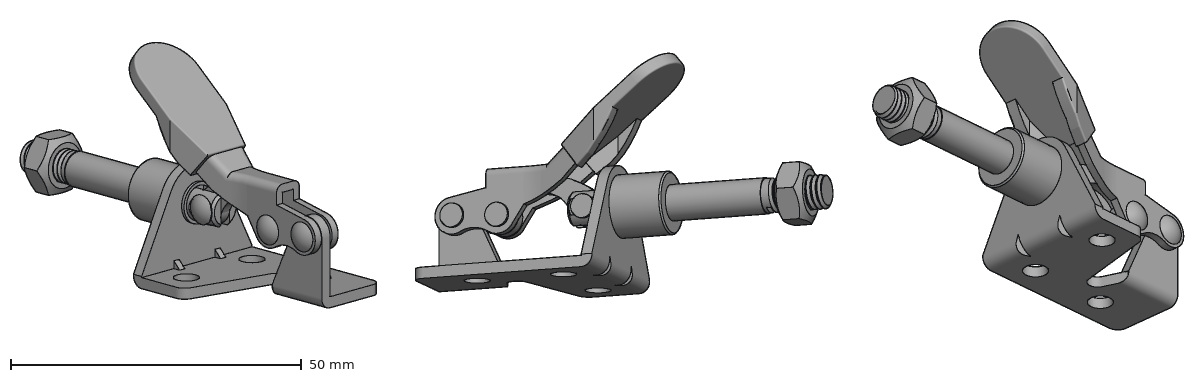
import cadquery as cq
import math


total_length = 71.53
total_height = 38.8

sheet = 2.0
bracket_width = 27.0
bracket_length = 33.3
bend_radius = 2.0
axis_z = 12.75

plunger_dia = 6.3
thread_dia = 6.0
thread_pitch = 1.0

pivot_shank_dia = 3.0
plunger_pivot = (5.85, axis_z)
link_pivot = (21.64, 12.3)
bracket_pivot = (29.95, axis_z)

link_thickness = 2.0

lever_mid_y = 0.3
lever_width = 5.6
lever_sheet = 1.5

handle_angle = math.radians(39.0)
FAR = 100.0


def polar(center, radius, degrees):
    """Point on a circle, measured counter-clockwise from the first axis."""
    angle = math.radians(degrees)
    return (center[0] + radius * math.cos(angle), center[1] + radius * math.sin(angle))


def side_slab(profile, y_low, y_high):
    """Extrude a closed XZ outline between two Y positions."""
    return profile.extrude(y_low - y_high).translate((0, y_low, 0))


def cross_cylinder(center, radius, y_low, y_high):
    """Cylinder along Y about a point in the XZ plane."""
    return side_slab(cq.Workplane("XZ").center(*center).circle(radius), y_low, y_high)


def axial_cylinder(radius, x_low, x_high):
    """Cylinder along X on the plunger axis."""
    start = cq.Plane((x_low, 0, axis_z), xDir=(0, 1, 0), normal=(1, 0, 0))
    return cq.Workplane(start).circle(radius).extrude(x_high - x_low)


flange_top_radius = 7.1
flange_shoulder_z = 2.2
corner_radius = 2.0
mount_hole_dia = 4.5
mount_hole_near_x = 7.4
mount_hole_pitch_x = 16.0
mount_hole_y = 8.0
notch_center = (17.8, 3.2)
notch_radius = 1.85
notch_side_lean = 13.0
notch_tab_lean = 20.0
tab_outer_y = -1.0
tab_foot_x = 21.2
stem_dia = 7.5
gusset_y = 5.0
gusset_width = 1.3
gusset_leg = 1.4
gusset_dent_reach = 3.1
half_width = bracket_width / 2


def make_flange():
    drop = flange_shoulder_z - axis_z
    corner_distance = math.hypot(half_width, drop)
    tangent_angle = math.degrees(math.atan2(drop, half_width)
                                 + math.acos(flange_top_radius / corner_distance))
    tangent_y, tangent_z = polar((0, axis_z), flange_top_radius, tangent_angle)
    return (cq.Workplane("YZ")
            .moveTo(-half_width, 0)
            .lineTo(half_width, 0)
            .lineTo(half_width, flange_shoulder_z)
            .lineTo(tangent_y, tangent_z)
            .threePointArc((0, axis_z + flange_top_radius), (-tangent_y, tangent_z))
            .lineTo(-half_width, flange_shoulder_z)
            .close()
            .extrude(sheet))


def make_base():
    side_lean = math.radians(notch_side_lean)
    tab_lean = math.radians(notch_tab_lean)
    left_x, left_y = polar(notch_center, notch_radius, 180 - notch_side_lean)
    right_x, right_y = polar(notch_center, notch_radius, notch_tab_lean)
    corner_x = left_x - (left_y + half_width) * math.tan(side_lean)
    tab_corner_x = right_x + (right_y - tab_outer_y) * math.tan(tab_lean)
    base = (cq.Workplane("XY")
            .moveTo(0, -half_width)
            .lineTo(corner_x, -half_width)
            .lineTo(left_x, left_y)
            .threePointArc(polar(notch_center, notch_radius, 90), (right_x, right_y))
            .lineTo(tab_corner_x, tab_outer_y)
            .lineTo(bracket_length, tab_outer_y)
            .lineTo(bracket_length, half_width)
            .lineTo(0, half_width)
            .close()
            .extrude(sheet))
    for corner in ((corner_x, -half_width), (bracket_length, half_width)):
        base = base.edges(cq.selectors.NearestToPointSelector((*corner, sheet / 2))).fillet(corner_radius)
    far_x = mount_hole_near_x + mount_hole_pitch_x
    holes = [(mount_hole_near_x, -mount_hole_y), (mount_hole_near_x, mount_hole_y), (far_x, mount_hole_y)]
    return base.cut(cq.Workplane("XY").pushPoints(holes).circle(mount_hole_dia / 2).extrude(sheet))


def make_tab():
    """Upright tab with a slanted front edge that runs tangent into its round top."""
    radius = bracket_length - bracket_pivot[0]
    run = tab_foot_x - bracket_pivot[0]
    drop = sheet - bracket_pivot[1]
    foot_distance = math.hypot(run, drop)
    tangent_angle = math.degrees(math.atan2(drop, run) - math.acos(radius / foot_distance))
    outline = (cq.Workplane("XZ")
               .moveTo(tab_foot_x, 0)
               .lineTo(tab_foot_x, sheet)
               .lineTo(*polar(bracket_pivot, radius, tangent_angle))
               .threePointArc(polar(bracket_pivot, radius, 90), (bracket_length, bracket_pivot[1]))
               .lineTo(bracket_length, 0)
               .close())
    return side_slab(outline, tab_outer_y, tab_outer_y + sheet)


def make_bracket():
    bracket = make_flange().union(make_base()).union(make_tab())
    tab_bend = cq.selectors.NearestToPointSelector((bracket_length - sheet, tab_outer_y, 0))
    flange_bend = cq.selectors.NearestToPointSelector((0, 0, 0))
    bracket = bracket.edges(tab_bend).fillet(bend_radius)
    bracket = bracket.edges(flange_bend).fillet(bend_radius)

    root_to_corner = gusset_dent_reach / math.sqrt(2)
    dent_depth = root_to_corner - bend_radius * (math.sqrt(2) - 1)
    half_at_corner = gusset_width / 2 * root_to_corner / dent_depth
    for y in (-gusset_y, gusset_y):
        rib = (cq.Workplane("XZ")
               .moveTo(sheet, sheet)
               .lineTo(sheet + gusset_leg, sheet)
               .lineTo(sheet, sheet + gusset_leg)
               .close())
        bracket = bracket.union(side_slab(rib, y - gusset_width / 2, y + gusset_width / 2))
        dent_plane = cq.Plane((0, y, 0), xDir=(0, 1, 0), normal=(1, 0, -1))
        dent = (cq.Workplane(dent_plane)
                .polyline([(-half_at_corner, 0), (0, root_to_corner), (half_at_corner, 0)])
                .close()
                .extrude(gusset_dent_reach, both=True))
        bracket = bracket.cut(dent)

    bracket = bracket.cut(axial_cylinder(stem_dia / 2, 0, sheet))
    return bracket.cut(cross_cylinder(bracket_pivot, pivot_shank_dia / 2, -sheet, sheet))


bushing_dia = 11.0
bushing_length = 9.5
bushing_chamfer = 0.3
stem_end_x = sheet + 0.6


def make_bushing():
    body = axial_cylinder(bushing_dia / 2, -bushing_length, 0).faces("<X").chamfer(bushing_chamfer)
    stem = axial_cylinder(stem_dia / 2, 0, stem_end_x)
    return body.union(stem).cut(axial_cylinder(plunger_dia / 2, -bushing_length, stem_end_x))


rivet_head_dia = 5.3
rivet_head_height = 1.1
rivet_tail_dia = 4.2
rivet_tail_height = 0.6
plunger_seat_y = 2.8
lever_near_y = lever_mid_y - lever_width / 2
lever_far_y = lever_mid_y + lever_width / 2


def make_rivet(center, seat_low, seat_high):
    """Shank along Y with a domed head at the low seat and a flat tail at the high one."""
    head_radius = rivet_head_dia / 2
    dome_radius = (head_radius ** 2 + rivet_head_height ** 2) / (2 * rivet_head_height)
    dome = (cq.Workplane("XY").sphere(dome_radius)
            .translate((center[0], seat_low - rivet_head_height + dome_radius, center[1])))
    head_blank = cross_cylinder(center, head_radius, seat_low - rivet_head_height, seat_low)
    shank = cross_cylinder(center, pivot_shank_dia / 2, seat_low, seat_high)
    tail = cross_cylinder(center, rivet_tail_dia / 2, seat_high, seat_high + rivet_tail_height)
    return head_blank.intersect(dome).union(shank).union(tail)


plunger_start_x = bracket_length - total_length
plunger_end_x = 8.86
thread_end_x = -28.1
shoulder_x = -27.06
thread_depth = 0.6
thread_groove_width = 0.85
groove_top_x = -36.7
plunger_end_chamfer = 0.5
thread_end_chamfer = 0.3
plunger_slot_start_x = 2.6


def make_thread_groove():
    """Right-hand helical V groove about the plunger axis, running out past the free end."""
    turns_to_free_end = math.ceil((groove_top_x - plunger_start_x) / thread_pitch)
    first_turn_x = groove_top_x - (turns_to_free_end + 1) * thread_pitch
    length = thread_end_x - first_turn_x
    radius = thread_dia / 2
    overhang = 0.1
    overhang_half = thread_groove_width / 2 * (thread_depth + overhang) / thread_depth
    helix = cq.Wire.makeHelix(thread_pitch, length, radius)
    groove = (cq.Workplane("XZ")
              .polyline([(radius - thread_depth, 0),
                         (radius + overhang, overhang_half),
                         (radius + overhang, -overhang_half)])
              .close()
              .sweep(cq.Workplane(obj=helix), isFrenet=True))
    groove = groove.rotate((0, 0, 0), (0, 1, 0), 90).rotate((0, 0, 0), (1, 0, 0), 180)
    return groove.translate((first_turn_x, 0, axis_z))


def make_plunger():
    rod = axial_cylinder(plunger_dia / 2, shoulder_x, plunger_end_x).faces(">X").chamfer(plunger_end_chamfer)
    threaded = axial_cylinder(thread_dia / 2, plunger_start_x, shoulder_x)
    threaded = threaded.faces("<X").chamfer(thread_end_chamfer)
    threaded = threaded.cut(make_thread_groove())
    slot_length = plunger_end_x - plunger_slot_start_x
    slot = (cq.Workplane("XY")
            .box(slot_length, link_thickness, 2 * plunger_dia, centered=(False, True, True))
            .translate((plunger_slot_start_x, 0, axis_z)))
    plunger = rod.union(threaded).cut(slot)
    plunger = plunger.cut(cross_cylinder(plunger_pivot, pivot_shank_dia / 2, -plunger_dia, plunger_dia))
    for low, high in ((-plunger_dia, -plunger_seat_y), (plunger_seat_y, plunger_dia)):
        plunger = plunger.cut(cross_cylinder(plunger_pivot, rivet_head_dia / 2, low, high))
    return plunger


nut_across_flats = 10.0
nut_thickness = 5.2
nut_mid_x = -32.65
nut_face_dia = 8.1
nut_chamfer_angle = math.radians(58.0)


def make_nut():
    half = nut_thickness / 2
    corner_radius_hex = nut_across_flats / math.sqrt(3)
    face_radius = nut_face_dia / 2
    chamfer_run = (corner_radius_hex - face_radius) / math.tan(nut_chamfer_angle)
    start = cq.Plane((nut_mid_x - half, 0, axis_z), xDir=(0, 1, 0), normal=(1, 0, 0))
    hexagon = cq.Workplane(start).polygon(6, 2 * corner_radius_hex).extrude(nut_thickness)
    cones = (cq.Workplane("XY")
             .polyline([(-half, 0),
                        (-half, face_radius),
                        (-half + chamfer_run, corner_radius_hex),
                        (half - chamfer_run, corner_radius_hex),
                        (half, face_radius),
                        (half, 0)])
             .close()
             .revolve(360, (0, 0, 0), (1, 0, 0))
             .translate((nut_mid_x, 0, axis_z)))
    return hexagon.intersect(cones).cut(axial_cylinder(thread_dia / 2, nut_mid_x - half, nut_mid_x + half))


link_eye_radius = 3.1
link_top_crest = (10.8, 18.55)
link_under_crest = (12.2, 15.6)


def make_link():
    outline = (cq.Workplane("XZ")
               .moveTo(*polar(plunger_pivot, link_eye_radius, 120))
               .threePointArc(link_top_crest, polar(link_pivot, link_eye_radius, 30))
               .threePointArc(polar(link_pivot, link_eye_radius, -90),
                              polar(link_pivot, link_eye_radius, 150))
               .threePointArc(link_under_crest, polar(plunger_pivot, link_eye_radius, -8))
               .threePointArc(polar(plunger_pivot, link_eye_radius, -120),
                              polar(plunger_pivot, link_eye_radius, 120))
               .close())
    half = link_thickness / 2
    link = side_slab(outline, -half, half)
    for pivot in (plunger_pivot, link_pivot):
        link = link.cut(cross_cylinder(pivot, pivot_shank_dia / 2, -half, half))
    return link


grip_length = 24.4
grip_edge_radius = 0.3
tip_rounding_drop = grip_edge_radius * (math.cos(handle_angle) + math.sin(handle_angle) - 1)
handle_origin = (9.25, total_height + tip_rounding_drop - grip_length * math.sin(handle_angle))


def handle_point(along, depth):
    return (handle_origin[0] - along * math.cos(handle_angle) - depth * math.sin(handle_angle),
            handle_origin[1] + along * math.sin(handle_angle) - depth * math.cos(handle_angle))


def handle_depth(point):
    """Distance of a point below the grip's top surface."""
    return ((handle_origin[0] - point.X) * math.sin(handle_angle)
            + (handle_origin[1] - point.Z) * math.cos(handle_angle))


lever_top_z = 20.68
lever_web_end_x = 23.8
lever_eye_radius = 3.25
lever_step_z = 17.2
lever_knee = (16.7, 13.86)
lever_belly = (12.18, 15.7)
lever_belly_end = (9.17, 17.45)
lever_neck_crest = (26.4, 10.4)
lever_top_depth = 0.3
lever_bottom_depth = 4.65
flare_start_x = 15.0
flare_slope = 0.24
lever_edge_radius = 1.4
flare_bend_half_length = 1.7


def lever_top_line(offset):
    """Bend and handle-end points of the web surface, lowered by an offset."""
    level = lever_top_z - offset
    end_x, end_z = handle_point(0, lever_top_depth + offset)
    bend_x = end_x + (end_z - level) / math.tan(handle_angle)
    return (bend_x, level), (end_x, end_z)


def lever_plan(half):
    """Channel plan that curves outward into a flare toward the handle."""
    ease = flare_bend_half_length
    ease_rise = ease * flare_slope
    flared_half = half + flare_start_x * flare_slope
    straight_x = flare_start_x + ease
    flared_x = flare_start_x - ease
    return (cq.Workplane("XY").center(0, lever_mid_y)
            .moveTo(0, -flared_half)
            .lineTo(flared_x, -half - ease_rise)
            .threePointArc((flare_start_x, -half - ease_rise / 4), (straight_x, -half))
            .lineTo(FAR, -half)
            .lineTo(FAR, half)
            .lineTo(straight_x, half)
            .threePointArc((flare_start_x, half + ease_rise / 4), (flared_x, half + ease_rise))
            .lineTo(0, flared_half)
            .close()
            .extrude(FAR))


def make_lever():
    bend, top_end = lever_top_line(0)
    silhouette = (cq.Workplane("XZ")
                  .moveTo(*top_end)
                  .lineTo(*bend)
                  .lineTo(lever_web_end_x, lever_top_z)
                  .lineTo(lever_web_end_x, lever_step_z)
                  .lineTo(*polar(bracket_pivot, lever_eye_radius, 78))
                  .threePointArc(polar(bracket_pivot, lever_eye_radius, 0),
                                 polar(bracket_pivot, lever_eye_radius, -110))
                  .threePointArc(lever_neck_crest, polar(link_pivot, lever_eye_radius, -55))
                  .threePointArc(polar(link_pivot, lever_eye_radius, -100),
                                 polar(link_pivot, lever_eye_radius, -150))
                  .lineTo(*lever_knee)
                  .threePointArc(lever_belly, lever_belly_end)
                  .lineTo(*handle_point(0, lever_bottom_depth))
                  .close())
    body = side_slab(silhouette, -FAR / 2, FAR / 2)
    body = body.intersect(lever_plan(lever_width / 2))
    web_edges = cq.selectors.BoxSelector((top_end[0], -FAR, lever_top_z - lever_edge_radius / 2),
                                         (lever_web_end_x - lever_edge_radius, FAR, FAR))
    body = body.edges(web_edges).edges("not |Y").fillet(lever_edge_radius)

    under_bend, under_end = lever_top_line(lever_sheet)
    cavity = (cq.Workplane("XZ")
              .moveTo(under_end[0] - FAR * math.cos(handle_angle),
                      under_end[1] + FAR * math.sin(handle_angle))
              .lineTo(*under_bend)
              .lineTo(lever_web_end_x, under_bend[1])
              .lineTo(lever_web_end_x, FAR)
              .lineTo(FAR, FAR)
              .lineTo(FAR, 0)
              .lineTo(-FAR, 0)
              .close())
    cavity = side_slab(cavity, -FAR / 2, FAR / 2)
    cavity = cavity.intersect(lever_plan(lever_width / 2 - lever_sheet))
    lever = body.cut(cavity)
    for pivot in (link_pivot, bracket_pivot):
        lever = lever.cut(cross_cylinder(pivot, pivot_shank_dia / 2, lever_near_y, lever_far_y))
    return lever


grip_half_width = 6.88
grip_plate = 2.45
grip_skirt_depth = 5.3
grip_skirt_full = 3.0
grip_skirt_bulge = (8.05, 4.0)
grip_skirt_tip = 11.5
grip_skirt_width = 2.45
grip_taper_x = 2.3
grip_taper_slope = 0.325


def grip_plan(half):
    """Vertical prism, straight toward the tip and tapering toward the lever."""
    taper_run = 10.0
    narrow_half = half - taper_run * grip_taper_slope
    return (cq.Workplane("XY")
            .polyline([(-FAR, -half),
                       (grip_taper_x, -half),
                       (grip_taper_x + taper_run, -narrow_half),
                       (grip_taper_x + taper_run, narrow_half),
                       (grip_taper_x, half),
                       (-FAR, half)])
            .close()
            .extrude(FAR))


def is_underside(edge):
    """True for an edge that lies wholly at or below the underside of the grip plate."""
    tolerance = 0.01
    return all(handle_depth(vertex) > grip_plate - tolerance for vertex in edge.Vertices())


def make_grip():
    silhouette = (cq.Workplane("XZ")
                  .moveTo(*handle_point(0, 0))
                  .lineTo(*handle_point(grip_length, 0))
                  .lineTo(*handle_point(grip_length, grip_plate))
                  .lineTo(*handle_point(grip_skirt_tip, grip_plate))
                  .threePointArc(handle_point(*grip_skirt_bulge),
                                 handle_point(grip_skirt_full, grip_skirt_depth))
                  .lineTo(*handle_point(0, grip_skirt_depth))
                  .close())
    body = side_slab(silhouette, -grip_half_width, grip_half_width)

    top_plane = cq.Plane((handle_origin[0], 0, handle_origin[1]),
                         xDir=(-math.cos(handle_angle), 0, math.sin(handle_angle)),
                         normal=(math.sin(handle_angle), 0, math.cos(handle_angle)))
    round_start = grip_length - grip_half_width
    rounded = (cq.Workplane(top_plane)
               .moveTo(0, -grip_half_width)
               .lineTo(round_start, -grip_half_width)
               .threePointArc((grip_length, 0), (round_start, grip_half_width))
               .lineTo(0, grip_half_width)
               .close()
               .extrude(-2 * grip_skirt_depth))
    body = body.intersect(rounded).intersect(grip_plan(grip_half_width))
    body = body.faces(cq.selectors.DirectionMinMaxSelector(top_plane.zDir)).edges().fillet(grip_edge_radius)
    body = body.edges("not |Y").filter(is_underside).fillet(grip_edge_radius)

    hollow = (cq.Workplane(top_plane)
              .workplane(offset=-grip_plate)
              .rect(2 * grip_skirt_tip, 2 * grip_half_width)
              .extrude(-2 * grip_skirt_depth))
    return body.cut(hollow.intersect(grip_plan(grip_half_width - grip_skirt_width)))


bracket = make_bracket()
bushing = make_bushing()
plunger = make_plunger()
nut = make_nut()
link = make_link()
lever = make_lever()
grip = make_grip()
rivets = [make_rivet(plunger_pivot, -plunger_seat_y, plunger_seat_y)]
for lever_pivot in (link_pivot, bracket_pivot):
    rivets.append(make_rivet(lever_pivot, lever_near_y, lever_far_y))

result = cq.Compound.makeCompound([
    bracket.val(),
    bushing.val(),
    plunger.val(),
    nut.val(),
    link.val(),
    lever.val(),
    grip.val(),
    *[rivet.val() for rivet in rivets],
])